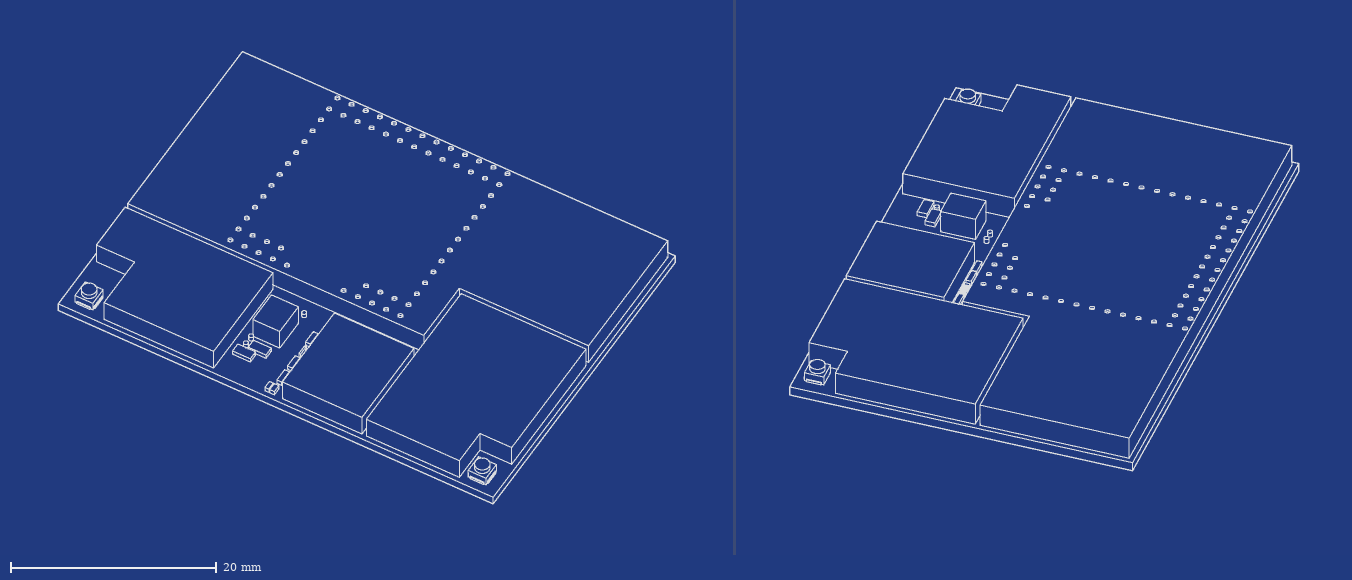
import cadquery as cq

BOARD_LENGTH = 49.0
BOARD_WIDTH = 35.45
BOARD_THICKNESS = 1.05
TOTAL_HEIGHT = 3.65

PAD_HEIGHT = 0.065
PAD_DIAMETER = 0.4
PAD_PITCH = 1.15
PAD_COLUMNS = 43
PAD_ROWS = 31
BLOCK_SIDE_COUNT = 3
BLOCK_CENTER_X = 11.65
BLOCK_CENTER_Y = 6.5

CAN_HEIGHT = TOTAL_HEIGHT - PAD_HEIGHT - BOARD_THICKNESS
CAN_MARGIN = 0.55
CAN_GAP = 0.5
CAN_RIGHT = BOARD_LENGTH / 2 - CAN_MARGIN
CAN_LEFT = -CAN_RIGHT
CAN_BACK = BOARD_WIDTH / 2 - CAN_MARGIN
CAN_FRONT = -CAN_BACK
MAIN_CAN_FRONT = -5.15
MAIN_CAN_STEP_X = 9.4
MAIN_CAN_STEP_Y = 1.75
LEFT_CAN_RIGHT = -7.3
LEFT_CAN_NOTCH_X = -19.65
LEFT_CAN_NOTCH_Y = -11.2
RIGHT_CAN_NOTCH_X = 20.4
RIGHT_CAN_NOTCH_Y = -13.2
SMALL_CAN_LEFT = 0.45
SMALL_CAN_BACK = -7.05

VENT_DIAMETER = 0.5
VENT_DEPTH = 0.25
VENT_COLUMNS = 13
VENT_ROWS = 14
VENT_LEFT = -13.0
VENT_RIGHT = 6.15
VENT_FRONT = -4.1
VENT_BACK = 16.7
VENT_FULL_BACK_ROWS = 2
VENT_FRONT_CORNER_COUNTS = (5, 4)

CONNECTOR_CENTERS_X = (-22.2, 22.1)
CONNECTOR_CENTER_Y = -15.7
CONNECTOR_BODY_SIZE = 2.0
CONNECTOR_BODY_HEIGHT = 1.0
CONNECTOR_BARREL_DIAMETER = 1.5
CONNECTOR_HEIGHT = 1.5
CONTACT_REACH = 0.1
CONTACT_WIDTH = CONNECTOR_BARREL_DIAMETER
CONTACT_HEIGHT = 0.25

TALL_BLOCK_LENGTH = 3.05
TALL_BLOCK_WIDTH = 3.65
TALL_BLOCK_CENTER = (-4.5, -9.95)

CHIP_HEIGHT = 0.5
CHIP_WIDTH = 0.55
PAIR_CHIP_LENGTH = 2.0
PAIR_CHIP_WIDTH = 1.05
PAIR_CHIP_CENTERS = ((-4.5, -13.05), (-5.6, -14.2))
PIN_DIAMETER = 0.5
PIN_CENTERS = ((-4.0, -7.0), (-3.0, -7.0), (-6.0, -12.15), (-6.0, -13.2))

COLUMN_CENTER_X = -0.75
COLUMN_CHIP_LENGTH = 1.5
COLUMN_CHIP_CENTERS_Y = (-9.4, -12.95, -15.0)
THIN_CHIP_WIDTH = 0.2
THIN_CHIP_LENGTH = 1.15
THIN_CHIP_CENTER_Y = -11.2
END_CHIP_LENGTH = 0.9
END_CHIP_WIDTH = 0.45
END_CHIP_CENTER_Y = -16.7
END_CHIP_GAP = 0.1

ROW_CENTER_Y = -6.45
ROW_CHIP_LENGTH = 1.55
ROW_CHIP_LEFTS = (0.65, 2.25, 6.0)
FINNED_CHIP_LEFT = 4.2
FINNED_CHIP_RIGHT = 5.95
FIN_SLOT_COUNT = 5
FIN_SLOT_START_X = 4.6
FIN_SLOT_PITCH = 0.3
FIN_SLOT_WIDTH = 0.15
FIN_SLOT_DEPTH = 0.2


def block(center_x, center_y, length, width, height):
    """Rectangular block standing on the board."""
    return (
        cq.Workplane("XY", origin=(center_x, center_y, 0))
        .box(length, width, height, centered=(True, True, False))
    )


def can(outline):
    """Shield can standing on the board."""
    return cq.Workplane("XY").polyline(outline).close().extrude(CAN_HEIGHT)


def cylinders(centers, diameter, height, base=0):
    """Equal round posts, growing up or down from the base level."""
    return (
        cq.Workplane("XY", origin=(0, 0, base))
        .pushPoints(centers).circle(diameter / 2).extrude(height)
    )


def shield_cans():
    """The vented main can and three plain cans around it."""
    main_can = can([
        (CAN_LEFT, CAN_BACK),
        (CAN_RIGHT, CAN_BACK),
        (CAN_RIGHT, MAIN_CAN_STEP_Y),
        (MAIN_CAN_STEP_X, MAIN_CAN_STEP_Y),
        (MAIN_CAN_STEP_X, MAIN_CAN_FRONT),
        (CAN_LEFT, MAIN_CAN_FRONT),
    ])
    left_can_back = MAIN_CAN_FRONT - CAN_GAP
    left_can = can([
        (CAN_LEFT, left_can_back),
        (LEFT_CAN_RIGHT, left_can_back),
        (LEFT_CAN_RIGHT, CAN_FRONT),
        (LEFT_CAN_NOTCH_X, CAN_FRONT),
        (LEFT_CAN_NOTCH_X, LEFT_CAN_NOTCH_Y),
        (CAN_LEFT, LEFT_CAN_NOTCH_Y),
    ])
    right_can_left = MAIN_CAN_STEP_X + CAN_GAP
    right_can_back = MAIN_CAN_STEP_Y - CAN_GAP
    right_can = can([
        (right_can_left, right_can_back),
        (CAN_RIGHT, right_can_back),
        (CAN_RIGHT, RIGHT_CAN_NOTCH_Y),
        (RIGHT_CAN_NOTCH_X, RIGHT_CAN_NOTCH_Y),
        (RIGHT_CAN_NOTCH_X, CAN_FRONT),
        (right_can_left, CAN_FRONT),
    ])
    small_can = can([
        (SMALL_CAN_LEFT, SMALL_CAN_BACK),
        (MAIN_CAN_STEP_X, SMALL_CAN_BACK),
        (MAIN_CAN_STEP_X, CAN_FRONT),
        (SMALL_CAN_LEFT, CAN_FRONT),
    ])
    return [main_can.cut(vent_holes()), left_can, right_can, small_can]


def vent_holes():
    """Blind holes: the two back rows, both side columns and two clusters at the front corners."""
    pitch_x = (VENT_RIGHT - VENT_LEFT) / (VENT_COLUMNS - 1)
    pitch_y = (VENT_BACK - VENT_FRONT) / (VENT_ROWS - 1)
    centers = []
    for row in range(VENT_ROWS):
        if row >= VENT_ROWS - VENT_FULL_BACK_ROWS:
            holes_per_side = VENT_COLUMNS
        elif row < len(VENT_FRONT_CORNER_COUNTS):
            holes_per_side = VENT_FRONT_CORNER_COUNTS[row]
        else:
            holes_per_side = 1
        for column in range(VENT_COLUMNS):
            if min(column, VENT_COLUMNS - 1 - column) < holes_per_side:
                centers.append((VENT_LEFT + column * pitch_x, VENT_FRONT + row * pitch_y))
    return cylinders(centers, VENT_DIAMETER, -VENT_DEPTH, CAN_HEIGHT)


def connector(center_x):
    """Square body with a round barrel on top and low contacts on the left, right and front."""
    body = block(
        center_x, CONNECTOR_CENTER_Y, CONNECTOR_BODY_SIZE, CONNECTOR_BODY_SIZE, CONNECTOR_BODY_HEIGHT
    )
    barrel = cylinders([(center_x, CONNECTOR_CENTER_Y)], CONNECTOR_BARREL_DIAMETER, CONNECTOR_HEIGHT)
    contact_span = CONNECTOR_BODY_SIZE + 2 * CONTACT_REACH
    side_contacts = block(center_x, CONNECTOR_CENTER_Y, contact_span, CONTACT_WIDTH, CONTACT_HEIGHT)
    front_contact = block(
        center_x, CONNECTOR_CENTER_Y - contact_span / 4, CONTACT_WIDTH, contact_span / 2, CONTACT_HEIGHT
    )
    return body.union(barrel).union(side_contacts).union(front_contact)


def column_chips():
    """Three equal chips, a thin one between them and a side-by-side pair at the front end."""
    chips = [
        block(COLUMN_CENTER_X, y, CHIP_WIDTH, COLUMN_CHIP_LENGTH, CHIP_HEIGHT)
        for y in COLUMN_CHIP_CENTERS_Y
    ]
    chips.append(
        block(COLUMN_CENTER_X, THIN_CHIP_CENTER_Y, THIN_CHIP_WIDTH, THIN_CHIP_LENGTH, CHIP_HEIGHT)
    )
    chips.append(block(COLUMN_CENTER_X, END_CHIP_CENTER_Y, CHIP_WIDTH, END_CHIP_LENGTH, CHIP_HEIGHT))
    end_chip_x = COLUMN_CENTER_X - CHIP_WIDTH / 2 - END_CHIP_GAP - END_CHIP_WIDTH / 2
    chips.append(block(end_chip_x, END_CHIP_CENTER_Y, END_CHIP_WIDTH, END_CHIP_LENGTH, CHIP_HEIGHT))
    return chips


def row_chips():
    """Three plain chips and a finned one."""
    chips = [
        block(left + ROW_CHIP_LENGTH / 2, ROW_CENTER_Y, ROW_CHIP_LENGTH, CHIP_WIDTH, CHIP_HEIGHT)
        for left in ROW_CHIP_LEFTS
    ]
    return chips + [finned_chip()]


def finned_chip():
    """Chip with narrow slots across its top."""
    length = FINNED_CHIP_RIGHT - FINNED_CHIP_LEFT
    chip = block(FINNED_CHIP_LEFT + length / 2, ROW_CENTER_Y, length, CHIP_WIDTH, CHIP_HEIGHT)
    for index in range(FIN_SLOT_COUNT):
        slot_x = FIN_SLOT_START_X + index * FIN_SLOT_PITCH
        slot = block(slot_x, ROW_CENTER_Y, FIN_SLOT_WIDTH, CHIP_WIDTH, FIN_SLOT_DEPTH)
        chip = chip.cut(slot.translate((0, 0, CHIP_HEIGHT - FIN_SLOT_DEPTH)))
    return chip


def solder_pads():
    """Round pads hanging from the underside of the board."""
    last_column = PAD_COLUMNS - 1
    last_row = PAD_ROWS - 1
    centers = []
    for column in range(PAD_COLUMNS):
        for row in range(PAD_ROWS):
            if column in (0, last_column) or row in (0, last_row):
                centers.append(((column - last_column / 2) * PAD_PITCH, (row - last_row / 2) * PAD_PITCH))
    block_offsets = [(index - (BLOCK_SIDE_COUNT - 1) / 2) * PAD_PITCH for index in range(BLOCK_SIDE_COUNT)]
    for block_x in (-BLOCK_CENTER_X, BLOCK_CENTER_X):
        for block_y in (-BLOCK_CENTER_Y, BLOCK_CENTER_Y):
            centers += [(block_x + dx, block_y + dy) for dx in block_offsets for dy in block_offsets]
    return cylinders(centers, PAD_DIAMETER, -PAD_HEIGHT, -BOARD_THICKNESS)


board = block(0, 0, BOARD_LENGTH, BOARD_WIDTH, BOARD_THICKNESS).translate((0, 0, -BOARD_THICKNESS))

pieces = shield_cans()
pieces += [connector(x) for x in CONNECTOR_CENTERS_X]
pieces.append(block(*TALL_BLOCK_CENTER, TALL_BLOCK_LENGTH, TALL_BLOCK_WIDTH, CAN_HEIGHT))
pieces += [block(x, y, PAIR_CHIP_LENGTH, PAIR_CHIP_WIDTH, CHIP_HEIGHT) for x, y in PAIR_CHIP_CENTERS]
pieces.append(cylinders(PIN_CENTERS, PIN_DIAMETER, CHIP_HEIGHT))
pieces += column_chips()
pieces += row_chips()
pieces.append(solder_pads())

result = board
for piece in pieces:
    result = result.union(piece)